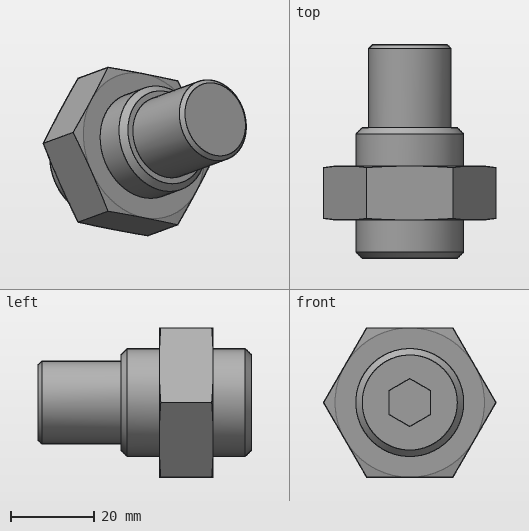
import cadquery as cq
import math

total_length = 51.5
shank_diameter = 26.0
shank_length = 31.5
shank_chamfer = 1.55
pin_diameter = 20.0
pin_length = total_length - shank_length
pin_chamfer = 1.0

socket_flats = 10.0
socket_depth = 10.0

nut_flats = 36.0
nut_thickness = 13.0
nut_front = 9.25
nut_corner_drop = 0.35


def across_corners(flats):
    """Corner-to-corner width of a regular hexagon."""
    return flats / math.cos(math.pi / 6)


def cross_plane(y):
    """Sketch plane across the axis at y; its normal is -Y, so negative extrusions run toward +Y."""
    return cq.Workplane("XZ", origin=(0, y, 0))


def hex_prism(flats, start, length):
    """Hexagonal prism along +Y with two corners on the X axis."""
    return cross_plane(start).polygon(6, across_corners(flats)).extrude(-length)


def cylinder(diameter, start, length):
    """Round bar along +Y."""
    return cross_plane(start).circle(diameter / 2).extrude(-length)


def make_screw():
    shank = cylinder(shank_diameter, 0, shank_length).edges().chamfer(shank_chamfer)
    pin = cylinder(pin_diameter, shank_length, pin_length).faces(">Y").chamfer(pin_chamfer)
    socket = hex_prism(socket_flats, 0, socket_depth).rotate((0, 0, 0), (0, 1, 0), 30)
    return shank.union(pin).cut(socket)


def make_nut():
    face_radius = nut_flats / 2
    corner_radius = across_corners(nut_flats) / 2
    nut_rear = nut_front + nut_thickness
    envelope = (
        cq.Workplane("XY")
        .moveTo(0, nut_front)
        .lineTo(face_radius, nut_front)
        .lineTo(corner_radius, nut_front + nut_corner_drop)
        .lineTo(corner_radius, nut_rear - nut_corner_drop)
        .lineTo(face_radius, nut_rear)
        .lineTo(0, nut_rear)
        .close()
        .revolve(360, (0, 0, 0), (0, 1, 0))
    )
    bore = cylinder(shank_diameter, nut_front, nut_thickness)
    return hex_prism(nut_flats, nut_front, nut_thickness).intersect(envelope).cut(bore)


screw = make_screw()
nut = make_nut()
result = cq.Compound.makeCompound([screw.val(), nut.val()])